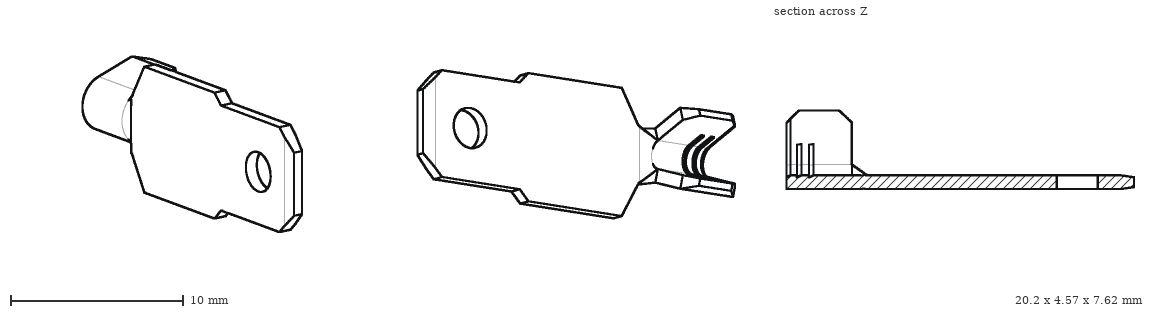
import cadquery as cq
import math

overall_length = 20.19
thickness = 0.81

barrel_length = 3.81
barrel_height = 4.57
bend_radius = 1.70
arm_angle = 18.0
tip_cut = 0.74
tip_thickness = 0.43

tooth_length = 0.25
tooth_depth = 0.13
groove_starts = (0.62, 1.33)
groove_arm_length = 1.25

tab_start = 4.69
neck_half_width = 1.69
flare_radius = 0.25
flare_start_angle = 30.0
flare_angle = 60.0
body_width = 7.62
blade_width = 6.35
blade_start = 13.32
blade_corner = 1.27
blade_bevel_length = 0.79
blade_tip_thickness = 0.58
hole_diameter = 2.37
hole_x = 16.88

sin_arm = math.sin(math.radians(arm_angle))
cos_arm = math.cos(math.radians(arm_angle))
inner_radius = bend_radius - thickness
inner_arm_length = (barrel_height - bend_radius + inner_radius * sin_arm) / cos_arm


def arm_point(radius, run):
    """(y, z) on the upper arm at an offset radius, a given run beyond the bend."""
    y = bend_radius - radius * sin_arm + run * cos_arm
    z = radius * cos_arm + run * sin_arm
    return y, z


def lower(point):
    """Mirror a (y, z) point to the lower arm."""
    return point[0], -point[1]


def bend_bottom(radius):
    return bend_radius - radius, 0


def cross_section(x):
    """Workplane at x with local axes Y and Z."""
    return cq.Workplane("YZ", origin=(x, 0, 0))


def channel_outline(plane, radius, run):
    """Closed U outline: an arc with two straight arms, closed across the arm ends."""
    top_bend = arm_point(radius, 0)
    top_end = arm_point(radius, run)
    return (
        plane.moveTo(*top_end)
        .lineTo(*top_bend)
        .threePointArc(bend_bottom(radius), lower(top_bend))
        .lineTo(*lower(top_end))
        .close()
    )


def sheet_outline(plane):
    """Closed outline of the U-shaped sheet with outer bevels at the arm tips."""
    outer_bend = arm_point(bend_radius, 0)
    bevel_start = arm_point(bend_radius, inner_arm_length - tip_cut)
    outer_tip = arm_point(inner_radius + tip_thickness, inner_arm_length)
    inner_tip = arm_point(inner_radius, inner_arm_length)
    inner_bend = arm_point(inner_radius, 0)
    return (
        plane.moveTo(*outer_bend)
        .lineTo(*bevel_start)
        .lineTo(*outer_tip)
        .lineTo(*inner_tip)
        .lineTo(*inner_bend)
        .threePointArc(bend_bottom(inner_radius), lower(inner_bend))
        .lineTo(*lower(inner_tip))
        .lineTo(*lower(outer_tip))
        .lineTo(*lower(bevel_start))
        .lineTo(*lower(outer_bend))
        .threePointArc(bend_bottom(bend_radius), outer_bend)
        .close()
    )


def tip_corner_cutters():
    """Triangular prisms, square to each arm, for the 45 degree corners of its tip."""
    cutters = []
    tip_y, tip_z = arm_point(inner_radius, inner_arm_length)
    for side in (1, -1):
        tip_plane = cq.Plane(
            origin=(0, tip_y, side * tip_z),
            xDir=(1, 0, 0),
            normal=(0, -side * sin_arm, cos_arm),
        )
        for end_x, inward in ((0, tip_cut), (barrel_length, -tip_cut)):
            corner = (
                cq.Workplane(tip_plane)
                .polyline([(end_x, 0), (end_x + inward, 0), (end_x, -tip_cut)])
                .close()
                .extrude(thickness, both=True)
            )
            cutters.append(corner)
    return cutters


def tapered_cutter(start, arm_run):
    """Saw-tooth cut inside the U: full depth square at its start, running out along +X."""
    deep_end = channel_outline(cross_section(start), inner_radius + tooth_depth, arm_run)
    shallow_plane = deep_end.workplane(offset=tooth_length)
    return channel_outline(shallow_plane, inner_radius, arm_run).loft(ruled=True)


def make_barrel():
    barrel = sheet_outline(cross_section(0)).extrude(barrel_length)
    for corner in tip_corner_cutters():
        barrel = barrel.cut(corner)
    barrel = barrel.cut(tapered_cutter(0, inner_arm_length))
    for start in groove_starts:
        barrel = barrel.cut(tapered_cutter(start, groove_arm_length))
    return barrel


def make_neck():
    """Transition from the bend of the barrel to the flat tab."""
    outer_bend = arm_point(bend_radius, 0)
    inner_bend = arm_point(inner_radius, 0)
    bend_section = (
        cross_section(barrel_length)
        .moveTo(*outer_bend)
        .lineTo(*inner_bend)
        .threePointArc(bend_bottom(inner_radius), lower(inner_bend))
        .lineTo(*lower(outer_bend))
        .threePointArc(bend_bottom(bend_radius), outer_bend)
        .close()
    )
    return (
        bend_section.workplane(offset=tab_start - barrel_length)
        .moveTo(0, neck_half_width)
        .lineTo(thickness, neck_half_width)
        .lineTo(thickness, -neck_half_width)
        .lineTo(0, -neck_half_width)
        .close()
        .loft(ruled=True)
    )


def flare_point(heading):
    """(x, z) on the concave flare arc where the outline has this heading."""
    start = math.radians(flare_start_angle)
    angle = math.radians(heading)
    x = tab_start + flare_radius * (math.sin(angle) - math.sin(start))
    z = neck_half_width + flare_radius * (math.cos(start) - math.cos(angle))
    return x, z


def make_tab():
    half_body = body_width / 2
    half_blade = blade_width / 2
    shoulder = half_body - half_blade
    flare_middle = flare_point((flare_start_angle + flare_angle) / 2)
    flare_end = flare_point(flare_angle)
    body_start = flare_end[0] + (half_body - flare_end[1]) / math.tan(math.radians(flare_angle))
    upper_half = (
        cq.Workplane("XZ")
        .moveTo(tab_start, 0)
        .lineTo(tab_start, neck_half_width)
        .threePointArc(flare_middle, flare_end)
        .lineTo(body_start, half_body)
        .lineTo(blade_start - shoulder, half_body)
        .lineTo(blade_start, half_blade)
        .lineTo(overall_length - blade_corner, half_blade)
        .lineTo(overall_length, half_blade - blade_corner)
        .lineTo(overall_length, 0)
        .close()
        .extrude(-thickness)
    )
    tab = upper_half.union(upper_half.mirror("XY")).clean()
    hole = cq.Workplane("XZ").center(hole_x, 0).circle(hole_diameter / 2).extrude(-thickness)
    return tab.cut(hole).intersect(blade_bevel_envelope())


def blade_bevel_envelope():
    """Thickness profile of the tab, tapered on both faces at the blade tip."""
    bevel_start = overall_length - blade_bevel_length
    bevel_depth = (thickness - blade_tip_thickness) / 2
    return (
        cq.Workplane("XY")
        .moveTo(tab_start, 0)
        .lineTo(bevel_start, 0)
        .lineTo(overall_length, bevel_depth)
        .lineTo(overall_length, thickness - bevel_depth)
        .lineTo(bevel_start, thickness)
        .lineTo(tab_start, thickness)
        .close()
        .extrude(body_width, both=True)
    )


result = make_barrel().union(make_neck()).union(make_tab())